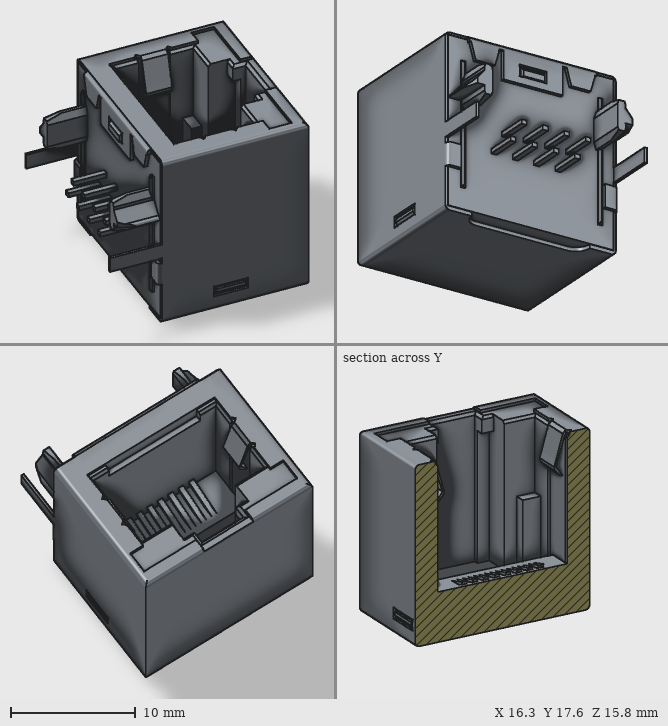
import cadquery as cq
import math


OVERALL_LENGTH = 17.55
WIDTH = 16.27
HEIGHT = 15.75
DEPTH = 12.95
SHEET = 0.25
EDGE_ROUND = 0.45
HALF = WIDTH / 2

FACE_Y = -0.07
FACE_BOTTOM = 0.37
PAD_Y = -0.39
HOUSING_TOP = HEIGHT - SHEET

NOTCH_HALF = 5.62
NOTCH_DEPTH = 1.32
NOTCH_ROUND = 1.3

LEAD_IN = 0.23
SHELL_OPENING_HALF = 6.2
SHELL_OPENING_FRONT = 1.93
SHOULDER_WINDOW_HALF = 7.45
SHOULDER_WINDOW_FRONT = 9.78
SHOULDER_WINDOW_BACK = 11.75
BACK_GAP_HALF = 2.39
PLUG_HALF = SHELL_OPENING_HALF - LEAD_IN
PLUG_FRONT = 2.44
PLUG_BACK = 9.25
STEP_HALF = 3.12
STEP_BACK = 10.93
LATCH_HALF = 2.02
LATCH_BACK = 12.04
LATCH_LEAD_IN = 0.3
CAVITY_FLOOR = 2.63
LATCH_STOP_BOTTOM = 14.08
LATCH_POCKET_BACK = 11.64

CORNER_LEDGE_WIDTH = 1.68
CORNER_LEDGE_DEPTH = 0.95
CORNER_LEDGE_TOP = 8.78
CARRIER_TOP = 4.39
CARRIER_BACK = 6.93
CARRIER_SLOPE = 0.53
COMB_HALF = 4.44
COMB_DEPTH = 1.05

PIN_COUNT = 8
PIN_PITCH = 1.02
PIN_WIDTH = 0.5
PIN_HEIGHT = 0.4
PIN_TIP = -2.98
LOWER_ROW_Z = 6.18
UPPER_ROW_Z = 7.93
CONTACT_THICKNESS = 0.26
CONTACT_ROOT_Y = 2.2
CONTACT_TIP_Y = 5.69
CONTACT_SLOPE = math.radians(15)

SPRING_FRONT = 4.7
SPRING_BACK = 6.98
SPRING_SHEET = 0.18
SPRING_TOP = (5.9, 15.45)
SPRING_BEND_TOP = (5.26, 13.27)
SPRING_NOSE = (5.09, 12.72)
SPRING_BEND_BOTTOM = (5.2, 12.37)
SPRING_TAIL = (5.7, 11.85)
SPRING_SLOT_FRONT = 4.42
SPRING_SLOT_BACK = 7.23
RELIEF_HALF = 0.28
RELIEF_DEPTH = 0.32

TAB_BOTTOM = 6.37
TAB_TOP = 7.7
TAB_TIP = DEPTH - OVERALL_LENGTH
WRAP_BOTTOM = 3.8
WRAP_TOP = 5.86
WRAP_INNER = 6.85
WRAP_ROUND = 0.39

RIB_CENTRE = 6.53
RIB_WIDTH = 0.4
RIB_BOTTOM = 2.26
RIB_TOP = 13.43
RIB_CHAMFER = 0.15
POST_TIP = -3.63
POST_TAPER_START = -2.28
POST_TAPER = 0.37
POST_INNER = 5.97
POST_OUTER = 6.72
POST_RIDGE_INNER = 6.2
POST_RIDGE_OUTER = 6.5
POST_BOTTOM = 8.81
POST_TOP = 12.2
POST_FLAT_BOTTOM = 9.42
POST_FLAT_TOP = 11.51
WING_TAPER_START = -2.2
WING_TAPER = 0.47
WING_TIP = 7.86
WING_BOTTOM = 9.92
WING_TOP = 11.23
WING_NOSE = (7.77, 10.11)
WING_ROUND_START = (7.58, 10.23)

LIP_HALF = 6.05
LIP_HEIGHT = 0.51
PLATE_HALF = 2.83
PLATE_BOTTOM = 12.67
EAR_BOTTOM = 13.7
EAR_TOP_X = (3.2, 5.91)
EAR_BOTTOM_X = (3.63, 5.48)

FRONT_WINDOW_HALF = 1.3
FRONT_WINDOW_Z = (13.34, 14.37)
FRONT_LATCH_HALF = 1.0
FRONT_LATCH_Z = (13.37, 14.32)
FRONT_LATCH_RAMP = 0.39
FRONT_LATCH_Y = -0.51

SIDE_WINDOW_Y = (4.56, 7.6)
SIDE_WINDOW_Z = (1.32, 2.28)
SIDE_LATCH_Y = (4.79, 7.37)
SIDE_LATCH_Z = (1.37, 1.98)
SIDE_LATCH_SLOPE = 0.32


def box(x_range, y_range, z_range):
    """Box between the given pairs of limits."""
    sizes = [limits[1] - limits[0] for limits in (x_range, y_range, z_range)]
    corner = (x_range[0], y_range[0], z_range[0])
    return cq.Workplane("XY").box(*sizes, centered=False).translate(corner)


def prism_x(points, x_range):
    """Prism along X from (y, z) points."""
    plane = cq.Workplane("YZ").workplane(offset=x_range[0])
    return plane.polyline(points).close().extrude(x_range[1] - x_range[0])


def prism_y(points, y_range):
    """Prism along Y from (x, z) points."""
    plane = cq.Workplane("XZ").workplane(offset=-y_range[1])
    return plane.polyline(points).close().extrude(y_range[1] - y_range[0])


def prism_z(points, z_range):
    """Prism along Z from (x, y) points."""
    plane = cq.Workplane("XY").workplane(offset=z_range[0])
    return plane.polyline(points).close().extrude(z_range[1] - z_range[0])


def both_sides(shape):
    """The shape together with its mirror image across X = 0."""
    return shape.union(shape.mirror("YZ"))


def mirrored_outline(half):
    """Closed outline from the points of its +X half."""
    return half + [(-x, y) for x, y in reversed(half)]


def shell_block():
    """Outer block: long edges rounded, back top and bottom edges rounded, back corners sharp."""
    block = box((-HALF, HALF), (0, DEPTH), (0, HEIGHT)).edges("|Y").fillet(EDGE_ROUND)
    side = box((-HALF, HALF), (0, DEPTH), (0, HEIGHT)).edges("|X and >Y").fillet(EDGE_ROUND)
    return block.intersect(side)


def front_face():
    """Housing face standing slightly proud of the shell edge."""
    half = HALF - SHEET
    return box((-half, half), (FACE_Y, SHEET), (FACE_BOTTOM, HOUSING_TOP))


def floor_notch():
    """Notch in the front edge of the shell floor, with rounded inner corners."""
    notch = box((-NOTCH_HALF, NOTCH_HALF), (-NOTCH_DEPTH, NOTCH_DEPTH), (0, FACE_BOTTOM))
    return notch.edges("|Z and >Y").fillet(NOTCH_ROUND)


def shell_opening():
    """Stepped window through the shell top."""
    outline = mirrored_outline([
        (SHELL_OPENING_HALF, SHELL_OPENING_FRONT),
        (SHELL_OPENING_HALF, SHOULDER_WINDOW_FRONT),
        (SHOULDER_WINDOW_HALF, SHOULDER_WINDOW_FRONT),
        (SHOULDER_WINDOW_HALF, SHOULDER_WINDOW_BACK),
        (BACK_GAP_HALF, SHOULDER_WINDOW_BACK),
        (BACK_GAP_HALF, DEPTH),
    ])
    opening = prism_z(outline, (HOUSING_TOP, HEIGHT))
    for y in (SPRING_SLOT_FRONT, SPRING_SLOT_BACK):
        relief = [
            (SHELL_OPENING_HALF, y - RELIEF_HALF),
            (SHELL_OPENING_HALF + RELIEF_DEPTH, y),
            (SHELL_OPENING_HALF, y + RELIEF_HALF),
        ]
        opening = opening.union(both_sides(prism_z(relief, (HOUSING_TOP, HEIGHT))))
    return opening


def plug_outline(lead_in, latch_lead_in):
    """Plug cavity outline, widened by the lead-in chamfers."""
    return mirrored_outline([
        (PLUG_HALF + lead_in, PLUG_FRONT - lead_in),
        (PLUG_HALF + lead_in, PLUG_BACK + lead_in),
        (STEP_HALF, PLUG_BACK + lead_in),
        (STEP_HALF, STEP_BACK + lead_in),
        (LATCH_HALF + latch_lead_in, STEP_BACK + lead_in),
        (LATCH_HALF + latch_lead_in, LATCH_BACK + latch_lead_in),
    ])


def plug_cavity():
    """Stepped plug cavity with lead-in, latch pockets, spring slots and comb recess."""
    lead_in_bottom = HOUSING_TOP - LEAD_IN
    lead_in = (
        cq.Workplane("XY")
        .workplane(offset=lead_in_bottom)
        .polyline(plug_outline(0, 0)).close()
        .workplane(offset=LEAD_IN)
        .polyline(plug_outline(LEAD_IN, LATCH_LEAD_IN)).close()
        .loft(ruled=True)
    )
    cavity = prism_z(plug_outline(0, 0), (CAVITY_FLOOR, lead_in_bottom)).union(lead_in)
    latch_pocket = box(
        (-STEP_HALF, STEP_HALF), (PLUG_BACK, LATCH_POCKET_BACK), (CAVITY_FLOOR, LATCH_STOP_BOTTOM)
    )
    spring_slots = box(
        (-SHELL_OPENING_HALF, SHELL_OPENING_HALF),
        (SPRING_SLOT_FRONT, SPRING_SLOT_BACK),
        (CAVITY_FLOOR, HOUSING_TOP),
    )
    comb = box(
        (-COMB_HALF, COMB_HALF), (SHELL_OPENING_FRONT, PLUG_FRONT), (HOUSING_TOP - COMB_DEPTH, HOUSING_TOP)
    )
    return cavity.union(latch_pocket).union(spring_slots).union(comb)


def corner_ledges():
    """Ledges in the two back corners of the plug cavity."""
    ledge = box(
        (PLUG_HALF - CORNER_LEDGE_WIDTH, PLUG_HALF),
        (PLUG_BACK - CORNER_LEDGE_DEPTH, PLUG_BACK),
        (CAVITY_FLOOR, CORNER_LEDGE_TOP),
    )
    return both_sides(ledge)


def contact_carrier():
    """Raised floor under the contacts with a sloped back edge."""
    profile = [
        (PLUG_FRONT, CAVITY_FLOOR),
        (CARRIER_BACK, CAVITY_FLOOR),
        (CARRIER_BACK, CARRIER_TOP - CARRIER_SLOPE),
        (CARRIER_BACK - CARRIER_SLOPE, CARRIER_TOP),
        (PLUG_FRONT, CARRIER_TOP),
    ]
    return prism_x(profile, (-PLUG_HALF, PLUG_HALF))


def contact(x_range):
    """Contact sloping down from the front wall into the top of the carrier."""
    root_z = CARRIER_TOP + (CONTACT_TIP_Y - CONTACT_ROOT_Y) * math.tan(CONTACT_SLOPE)
    profile = [
        (CONTACT_ROOT_Y, root_z),
        (CONTACT_TIP_Y, CARRIER_TOP),
        (CONTACT_TIP_Y, CARRIER_TOP - CONTACT_THICKNESS),
        (CONTACT_ROOT_Y, root_z - CONTACT_THICKNESS),
    ]
    return prism_x(profile, x_range)


def contacts_and_pins():
    """Sloping contacts in the cavity and two staggered rows of solder pins."""
    parts = cq.Workplane("XY")
    for index in range(PIN_COUNT):
        x = (index - (PIN_COUNT - 1) / 2) * PIN_PITCH
        z = UPPER_ROW_Z if index % 2 else LOWER_ROW_Z
        x_range = (x - PIN_WIDTH / 2, x + PIN_WIDTH / 2)
        pin = box(x_range, (PIN_TIP, SHEET), (z - PIN_HEIGHT / 2, z + PIN_HEIGHT / 2))
        parts = parts.add(contact(x_range)).add(pin)
    return parts.combine()


def grounding_springs():
    """Sheet springs bent down from the shell opening into the plug cavity."""
    root_x = SHELL_OPENING_HALF + SHEET
    profile = [
        (root_x, HEIGHT),
        (SHELL_OPENING_HALF, HEIGHT),
        SPRING_TOP,
        SPRING_BEND_TOP,
        SPRING_NOSE,
        SPRING_BEND_BOTTOM,
        SPRING_TAIL,
        (SPRING_TAIL[0] + SPRING_SHEET, SPRING_TAIL[1]),
        (SPRING_NOSE[0] + SPRING_SHEET, SPRING_NOSE[1]),
        (SPRING_TOP[0] + SPRING_SHEET, SPRING_TOP[1] - SPRING_SHEET),
        (root_x, HOUSING_TOP),
    ]
    return both_sides(prism_y(profile, (SPRING_FRONT, SPRING_BACK)))


def ground_tabs():
    """Flat solder tabs continuing the shell sides."""
    return both_sides(box((HALF - SHEET, HALF), (TAB_TIP, SHEET), (TAB_BOTTOM, TAB_TOP)))


def wrapped_pads():
    """Pads bent from the shell sides onto the housing face."""
    pad = box((WRAP_INNER, HALF), (PAD_Y, SHEET), (WRAP_BOTTOM, WRAP_TOP))
    return both_sides(pad.edges("|Z and >X and <Y").fillet(WRAP_ROUND))


def ribs():
    """Chamfered stand-off ribs on the housing face."""
    x_range = (RIB_CENTRE - RIB_WIDTH / 2, RIB_CENTRE + RIB_WIDTH / 2)
    rib = box(x_range, (PAD_Y, SHEET), (RIB_BOTTOM, RIB_TOP))
    return both_sides(rib.faces("<Y").edges().chamfer(RIB_CHAMFER))


def board_posts():
    """Eight-sided posts with a side wing, tapered toward the tip."""
    post = prism_y(
        [
            (POST_INNER, POST_FLAT_BOTTOM),
            (POST_INNER, POST_FLAT_TOP),
            (POST_RIDGE_INNER, POST_TOP),
            (POST_RIDGE_OUTER, POST_TOP),
            (POST_OUTER, POST_FLAT_TOP),
            (POST_OUTER, POST_FLAT_BOTTOM),
            (POST_RIDGE_OUTER, POST_BOTTOM),
            (POST_RIDGE_INNER, POST_BOTTOM),
        ],
        (POST_TIP, SHEET),
    )
    wing = (
        cq.Workplane("XZ")
        .workplane(offset=-SHEET)
        .moveTo(POST_INNER, WING_BOTTOM)
        .lineTo(WING_TIP, WING_BOTTOM)
        .threePointArc(WING_NOSE, WING_ROUND_START)
        .lineTo(POST_OUTER, WING_TOP)
        .lineTo(POST_INNER, WING_TOP)
        .close()
        .extrude(SHEET - POST_TIP)
    )
    height_taper = prism_x(
        [
            (SHEET, POST_BOTTOM),
            (POST_TAPER_START, POST_BOTTOM),
            (POST_TIP, POST_BOTTOM + POST_TAPER),
            (POST_TIP, POST_TOP - POST_TAPER),
            (POST_TAPER_START, POST_TOP),
            (SHEET, POST_TOP),
        ],
        (POST_INNER, WING_TIP),
    )
    wing_taper = prism_z(
        [
            (POST_INNER, SHEET),
            (POST_INNER, POST_TIP),
            (WING_TIP - WING_TAPER, POST_TIP),
            (WING_TIP, WING_TAPER_START),
            (WING_TIP, SHEET),
        ],
        (POST_BOTTOM, POST_TOP),
    )
    return both_sides(post.union(wing).intersect(height_taper).intersect(wing_taper))


def front_lip():
    """Shell top folded over the front edge, with a centre plate and two ears."""
    lip_bottom = HEIGHT - LIP_HEIGHT
    lip = box((-LIP_HALF, LIP_HALF), (PAD_Y, EDGE_ROUND), (lip_bottom, HEIGHT))
    lip = lip.edges("|X and <Y and >Z").fillet(EDGE_ROUND)
    plate = box((-PLATE_HALF, PLATE_HALF), (PAD_Y, SHEET), (PLATE_BOTTOM, lip_bottom))
    ear = [
        (EAR_TOP_X[0], lip_bottom),
        (EAR_TOP_X[1], lip_bottom),
        (EAR_BOTTOM_X[1], EAR_BOTTOM),
        (EAR_BOTTOM_X[0], EAR_BOTTOM),
    ]
    window = box((-FRONT_WINDOW_HALF, FRONT_WINDOW_HALF), (PAD_Y, FACE_Y), FRONT_WINDOW_Z)
    return lip.union(plate).union(both_sides(prism_y(ear, (PAD_Y, SHEET)))).cut(window)


def front_latch():
    """Ramped latch in the window of the front plate."""
    bottom, top = FRONT_LATCH_Z
    profile = [
        (SHEET, bottom),
        (FRONT_LATCH_Y, bottom),
        (FRONT_LATCH_Y, top - FRONT_LATCH_RAMP),
        (FACE_Y, top),
        (SHEET, top),
    ]
    return prism_x(profile, (-FRONT_LATCH_HALF, FRONT_LATCH_HALF))


def side_windows():
    """Latch windows through the shell sides."""
    return both_sides(box((HALF - SHEET, HALF), SIDE_WINDOW_Y, SIDE_WINDOW_Z))


def side_latches():
    """Housing latches in the side windows, sloped at the bottom."""
    bottom, top = SIDE_LATCH_Z
    profile = [
        (HALF - 2 * SHEET, bottom),
        (HALF - SHEET, bottom),
        (HALF, bottom + SIDE_LATCH_SLOPE),
        (HALF, top),
        (HALF - 2 * SHEET, top),
    ]
    return both_sides(prism_y(profile, SIDE_LATCH_Y))


body = shell_block().cut(floor_notch()).union(front_face()).union(front_lip())
body = body.cut(shell_opening()).cut(plug_cavity()).cut(side_windows())

for feature in (
    corner_ledges(),
    contact_carrier(),
    contacts_and_pins(),
    grounding_springs(),
    ground_tabs(),
    wrapped_pads(),
    ribs(),
    board_posts(),
    front_latch(),
    side_latches(),
):
    body = body.union(feature)

result = body